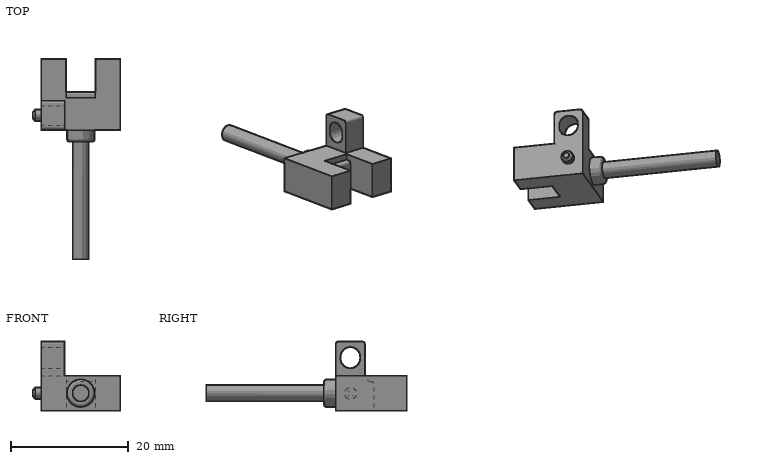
import cadquery as cq

BODY_WIDTH = 13.5
BODY_DEPTH = 12.1
BODY_HEIGHT = 6.0

EAR_WIDTH = 4.0
EAR_DEPTH = 5.0
TOTAL_HEIGHT = 11.8
EAR_FILLET = 0.5
EAR_HOLE_WIDTH = 3.3
EAR_HOLE_HEIGHT = 3.55
EAR_HOLE_Z = 9.05

GAP_WIDTH = 5.0
GAP_DEPTH = 6.6

STEP_DEPTH = 1.0
STEP_HEIGHT = 5.0
STEP_FILLET = 0.5

PIN_DIAMETER = 2.0
PIN_LENGTH = 1.45
PIN_CHAMFER = 0.5

BUSHING_DIAMETER = 4.7
BUSHING_LENGTH = 2.0
BUSHING_FILLET = 0.5
CABLE_DIAMETER = 2.8
CABLE_LENGTH = 20.0

MIDDLE_X = BODY_WIDTH / 2
MIDDLE_Z = BODY_HEIGHT / 2
EAR_MIDDLE_Y = EAR_DEPTH / 2


def make_block(x_size, y_size, z_size, corner):
    """Box with its left, front, bottom corner at the given point."""
    return cq.Workplane("XY").box(x_size, y_size, z_size, centered=False).translate(corner)


def make_body():
    block = make_block(BODY_WIDTH, BODY_DEPTH, BODY_HEIGHT, (0, 0, 0))
    gap_corner = (MIDDLE_X - GAP_WIDTH / 2, BODY_DEPTH - GAP_DEPTH, 0)
    gap = make_block(GAP_WIDTH, GAP_DEPTH, BODY_HEIGHT, gap_corner)
    step = make_block(GAP_WIDTH, STEP_DEPTH, STEP_HEIGHT, gap_corner)
    step = step.edges(">Y and >Z").fillet(STEP_FILLET)
    return block.cut(gap).union(step)


def make_ear():
    ear = make_block(EAR_WIDTH, EAR_DEPTH, TOTAL_HEIGHT, (0, 0, 0))
    ear = ear.edges("|X and >Z").fillet(EAR_FILLET)
    radius = EAR_HOLE_WIDTH / 2
    arc_offset = EAR_HOLE_HEIGHT / 2 - radius
    left = EAR_MIDDLE_Y - radius
    right = EAR_MIDDLE_Y + radius
    lower_z = EAR_HOLE_Z - arc_offset
    upper_z = EAR_HOLE_Z + arc_offset
    hole = (
        cq.Workplane("YZ")
        .moveTo(left, lower_z)
        .threePointArc((EAR_MIDDLE_Y, lower_z - radius), (right, lower_z))
        .lineTo(right, upper_z)
        .threePointArc((EAR_MIDDLE_Y, upper_z + radius), (left, upper_z))
        .close()
        .extrude(EAR_WIDTH)
    )
    return ear.cut(hole)


def make_pin():
    pin = (
        cq.Workplane("YZ")
        .center(EAR_MIDDLE_Y, MIDDLE_Z)
        .circle(PIN_DIAMETER / 2)
        .extrude(-PIN_LENGTH)
    )
    return pin.faces("<X").chamfer(PIN_CHAMFER)


def make_front_cylinder(diameter, length):
    """Cylinder running forward from the middle of the body's front face."""
    return (
        cq.Workplane("XZ")
        .center(MIDDLE_X, MIDDLE_Z)
        .circle(diameter / 2)
        .extrude(length)
    )


def make_cable():
    bushing = make_front_cylinder(BUSHING_DIAMETER, BUSHING_LENGTH)
    bushing = bushing.faces("<Y").edges().fillet(BUSHING_FILLET)
    return bushing.union(make_front_cylinder(CABLE_DIAMETER, BUSHING_LENGTH + CABLE_LENGTH))


result = make_body().union(make_ear()).union(make_pin()).union(make_cable())